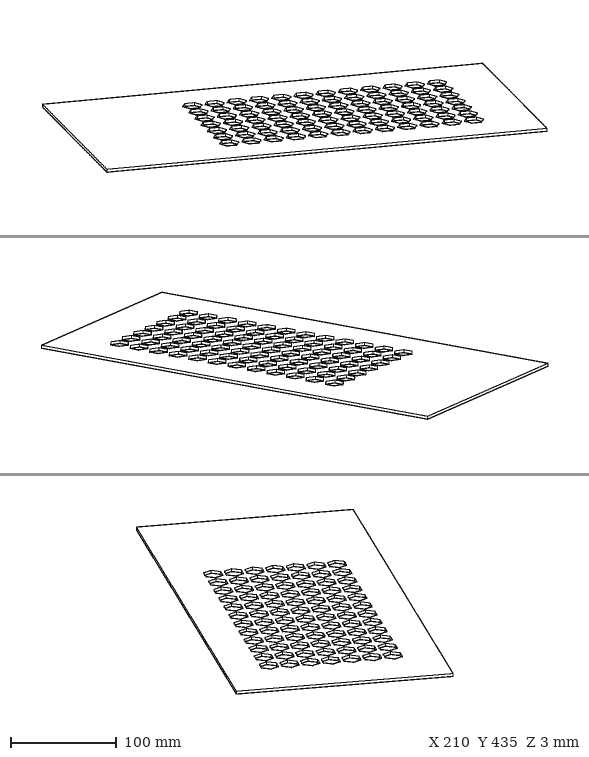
import cadquery as cq
import math

plate_width = 210.0
plate_length = 435.0
plate_thickness = 3.0

column_count = 7
row_count = 12
column_pitch = 20.0
column_web = 3.55
row_web = 3.0
end_margin = 58.7
grid_center_x = 0.5

hole_across_flats = column_pitch - column_web
hole_across_corners = hole_across_flats / math.cos(math.pi / 6)
row_pitch = hole_across_corners + row_web
grid_length = row_pitch * (row_count - 1)
grid_center_y = plate_length / 2 - end_margin - grid_length / 2


def make_plate():
    return cq.Workplane("XY").box(plate_width, plate_length, plate_thickness)


def make_hole_grid():
    """Hexagonal prisms with two corners along Y, running through the plate."""
    hexagon = cq.Sketch().regularPolygon(hole_across_corners / 2, 6)
    return (
        cq.Workplane("XY")
        .workplane(offset=-plate_thickness)
        .center(grid_center_x, grid_center_y)
        .rarray(column_pitch, row_pitch, column_count, row_count)
        .placeSketch(hexagon)
        .extrude(2 * plate_thickness)
    )


result = make_plate().cut(make_hole_grid())